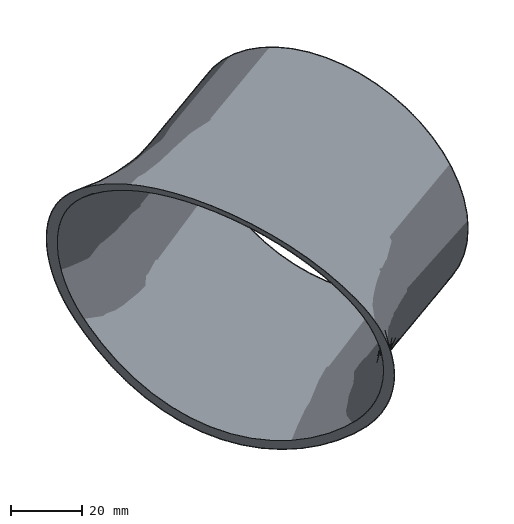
import cadquery as cq
import math

overall_width = 112.2
overall_depth = 68.2

outer_radius = 88.8 / 2
inner_radius = 83.7 / 2
wall = outer_radius - inner_radius
straight_length = 34.0

main_radius = 162.0
saddle_drop = main_radius - math.sqrt(main_radius**2 - outer_radius**2)
tip_length = overall_depth - straight_length
side_length = tip_length - saddle_drop

crown_radius = 63.2
crown_offset = crown_radius - outer_radius
half_width = overall_width / 2
side_radius = (crown_radius**2 - crown_offset**2 - half_width**2) / (2 * (crown_radius - half_width))
side_offset = half_width - side_radius
tangent_slope = crown_offset / side_offset
tangent_run = side_radius / math.hypot(1, tangent_slope)
tangent_angle = math.atan2(tangent_run * tangent_slope, side_offset + tangent_run)

curve_count = 6
points_per_curve = 32
trim_passes = 8


def lip_radius(angle):
    """Distance from the pipe axis to the oval lip outline."""
    across = abs(math.cos(angle))
    up = abs(math.sin(angle))
    if math.atan2(up, across) < tangent_angle:
        return side_offset * across + math.sqrt(side_radius**2 - (side_offset * up) ** 2)
    return math.sqrt(crown_radius**2 - (crown_offset * across) ** 2) - crown_offset * up


def length_at_height(height):
    """Flare length, from Y = 0 to the main pipe, at a height along Z."""
    return side_length + main_radius - math.sqrt(main_radius**2 - height**2)


def flare_point(angle, fraction, inset):
    """Point on an arc that leaves the pipe wall tangentially and stops at the main pipe.

    The fraction runs from 0 at the pipe to 1 at the main pipe. The inset moves the
    arc inward, keeping its centre.
    """
    lip = lip_radius(angle)
    widening = lip - outer_radius
    length = length_at_height(lip * math.sin(angle))
    curvature = 2 * widening / (length**2 + widening**2)
    curvature = curvature / (1 + inset * curvature)

    def radius_at(depth):
        spread = depth**2 * curvature / (1 + math.sqrt(1 - (depth * curvature) ** 2))
        return outer_radius - inset + spread

    for _ in range(trim_passes):
        length = length_at_height(radius_at(length) * math.sin(angle))
    depth = fraction * length
    radius = radius_at(depth)
    return cq.Vector(radius * math.cos(angle), -depth, radius * math.sin(angle))


def flare_curve(fraction, inset):
    """Closed curve around the flare at one fraction of its length."""
    angles = [2 * math.pi * i / points_per_curve for i in range(points_per_curve)]
    points = [flare_point(angle, fraction, inset) for angle in angles]
    return cq.Wire.assembleEdges([cq.Edge.makeSpline(points, periodic=True)])


def flare_curves(inset):
    """Closed curves of one flare surface, from the pipe circle to the lip."""
    circle = cq.Workplane("XZ").circle(outer_radius - inset).wires().val()
    fractions = [i / (curve_count - 1) for i in range(1, curve_count)]
    return [circle] + [flare_curve(fraction, inset) for fraction in fractions]


def flare_faces():
    """Outer wall, inner wall and lip of the flare."""
    outer_curves = flare_curves(0)
    inner_curves = flare_curves(wall)
    outer_wall = cq.Solid.makeLoft(outer_curves)
    inner_wall = cq.Solid.makeLoft(inner_curves)
    lip = cq.Solid.makeLoft([outer_curves[-1], inner_curves[-1]], True)
    return outer_wall.Faces() + inner_wall.Faces() + lip.Faces()


def pipe_faces():
    """Outer wall, inner wall and back end of the plain pipe, left open at Y = 0."""
    ring = cq.Workplane("XZ").circle(outer_radius).circle(inner_radius)
    return ring.extrude(-straight_length).faces("not <Y").vals()


closed_skin = cq.Shell.makeShell(pipe_faces() + flare_faces())
result = cq.Workplane(cq.Solid.makeSolid(closed_skin))